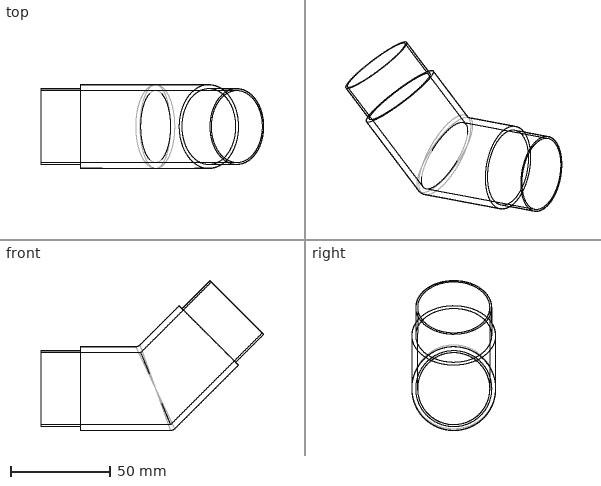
import cadquery as cq
import math

BEND_ANGLE = 45.0
BODY_DIAMETER = 42.4
SPIGOT_DIAMETER = 38.4
SPIGOT_WALL = 1.0
BODY_LENGTH = 38.0
SPIGOT_LENGTH = 20.0
BLEND_RADIUS = 3.0
JOIN_TOLERANCE = 1e-4

BODY_RADIUS = BODY_DIAMETER / 2
BORE_DIAMETER = SPIGOT_DIAMETER - 2 * SPIGOT_WALL
LEG_LENGTH = BODY_LENGTH + SPIGOT_LENGTH

BEND = math.radians(BEND_ANGLE)
MITRE = BEND / 2

INNER_DIRECTION = cq.Vector(-math.sin(MITRE), 0, math.cos(MITRE))
MITRE_NORMAL = cq.Vector(math.cos(MITRE), 0, math.sin(MITRE))
MITRE_PLANE = cq.Plane(origin=(0, 0, 0), xDir=INNER_DIRECTION, normal=MITRE_NORMAL)


def mitred_bar(diameter, leg_length):
    """Solid round bar of two equal legs, mitred at the origin; the first leg lies along -X."""
    outlet_end = (leg_length * math.cos(BEND), leg_length * math.sin(BEND))
    path = cq.Workplane("XZ").moveTo(-leg_length, 0).lineTo(0, 0).lineTo(*outlet_end)
    profile = cq.Workplane("YZ", origin=(-leg_length, 0, 0)).circle(diameter / 2)
    return profile.sweep(path, transition="right")


def rolling_ball_tube(centre_radius):
    """Space swept by the blend ball while it touches both legs of the body.

    The ball centre follows the ellipse where cylinders of centre_radius about
    the two leg axes cross the mitre plane.
    """
    long_radius = centre_radius / math.cos(MITRE)
    path = cq.Workplane(MITRE_PLANE).ellipse(long_radius, centre_radius)
    ball_start = INNER_DIRECTION * long_radius
    start_plane = cq.Plane(origin=ball_start, xDir=INNER_DIRECTION, normal=(0, 1, 0))
    return cq.Workplane(start_plane).circle(BLEND_RADIUS).sweep(path)


def seam_wedge(centre_radius, side):
    """Wedge about the mitre plane between the ball's two lines of contact.

    Its sharp edge is the Y axis; side is 1 for the inner and -1 for the outer
    side of the bend.
    """
    contact_angle = math.atan(centre_radius / BODY_RADIUS * math.tan(MITRE))
    half_angle = abs(contact_angle - MITRE)
    reach = side * BODY_DIAMETER
    half_width = BODY_DIAMETER * math.tan(half_angle)
    section_plane = cq.Plane(origin=(0, 0, 0), xDir=INNER_DIRECTION, normal=(0, 1, 0))
    section = cq.Workplane(section_plane).polyline([(0, 0), (reach, half_width), (reach, -half_width)])
    return section.close().extrude(BODY_DIAMETER, both=True)


def fill_inner_seam(body):
    """Replace the body inside the inner wedge by a wedge with the concave blend on it."""
    centre_radius = BODY_RADIUS + BLEND_RADIUS
    wedge = seam_wedge(centre_radius, 1)
    filler = wedge.intersect(mitred_bar(2 * centre_radius, BODY_LENGTH))
    filler = filler.cut(rolling_ball_tube(centre_radius))
    return body.cut(wedge).union(filler, tol=JOIN_TOLERANCE)


def round_outer_seam(body):
    """Cut the convex half of the mitre seam back to the ball's path.

    The cutter also takes material on the inner side of that path, all of it
    within the spigot bar that is added afterwards.
    """
    centre_radius = BODY_RADIUS - BLEND_RADIUS
    cutter = seam_wedge(centre_radius, -1).cut(rolling_ball_tube(centre_radius))
    return body.cut(cutter)


body = mitred_bar(BODY_DIAMETER, BODY_LENGTH)
body = fill_inner_seam(body)
body = round_outer_seam(body)
spigots = mitred_bar(SPIGOT_DIAMETER, LEG_LENGTH)
bore = mitred_bar(BORE_DIAMETER, LEG_LENGTH)

result = body.union(spigots).cut(bore)